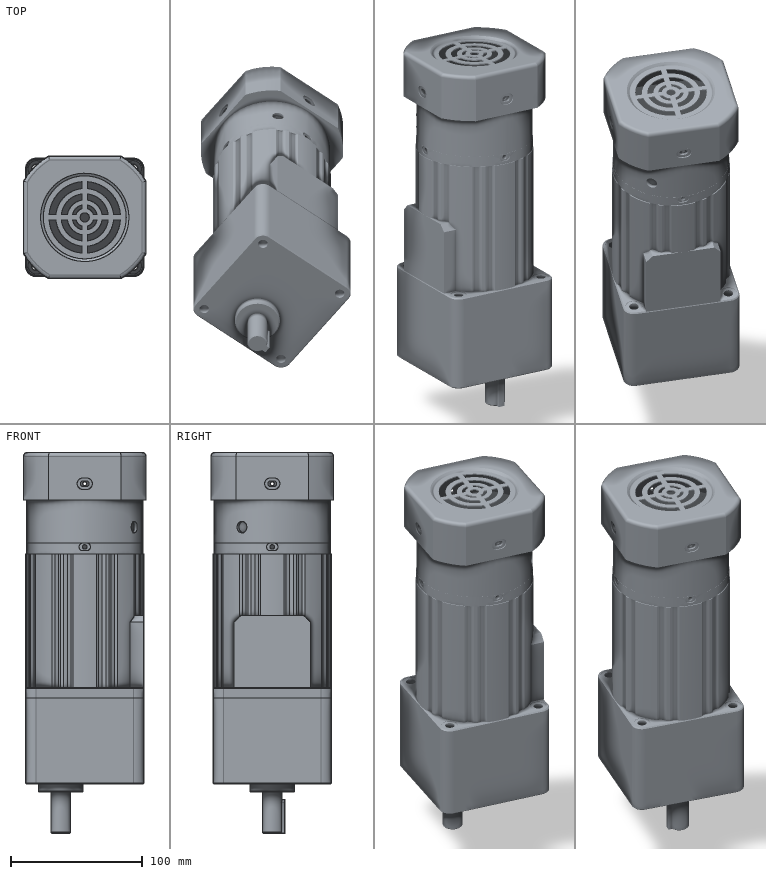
import cadquery as cq
import math

BOSS_BOTTOM = 31.2
GEARBOX_BOTTOM = 37.3
GEARBOX_TOP = 102.5
FLANGE_TOP = 110.7
STATOR_TOP = 212.0
COVER_BOTTOM = 253.0
BELL_TOP = 260.0
COVER_TOP = 289.0

FRAME_WIDTH = 90.0
FRAME_CORNER_RADIUS = 8.0
FRAME_EDGE_CHAMFER = 1.0
BOLT_OFFSET = 36.7
BOLT_RADIUS = 3.6
BOLT_SEAT_RADIUS = 6.5
BOLT_SEAT_DEPTH = 0.3

SHAFT_X = -18.2
SHAFT_RADIUS = 7.5
SHAFT_CHAMFER = 1.0
BOSS_RADIUS = 17.0
BOSS_CHAMFER = 1.0
KEY_WIDTH = 5.0
KEY_HEIGHT = 5.0
KEY_LENGTH = 25.7
KEY_OUTER_Y = 9.5

STATOR_RADIUS = FRAME_WIDTH / 2
GROOVE_DEPTH = 1.5
GROOVE_PAIRS = 8
FIRST_PAIR_ANGLE = 180 / GROOVE_PAIRS
GROOVE_OUTER_LIP = 11.0
GROOVE_FLOOR_OUTER = 8.5
GROOVE_FLOOR_INNER = 5.0
GROOVE_INNER_LIP = 1.7

PAD_WIDTH = 57.8
PAD_TOP = 165.3
PAD_CHAMFER = 5.0

BELL_RADIUS = 44.2
BAND_TOP = 220.2
BAND_STEP = 0.1
CABLE_HOLE_RADIUS = 4.3
CABLE_HOLE_DEPTH = 3.0
CABLE_HOLE_Z = 232.5
CABLE_HOLE_ANGLE = -31.5
BELL_SCREW_Z = 217.3
BELL_SCREW_SLOT = (8.7, 5.8)
BELL_SCREW_SLOT_DEPTH = 1.0
BELL_SCREW_RADIUS = 1.7
BELL_SCREW_DEPTH = 4.3

COVER_WIDTH = 93.0
COVER_CORNER_RADIUS = 54.0
COVER_TOP_FILLET = 3.0
COVER_WALL = 4.3
COVER_ROOF = 1.0
COVER_SCREW_Z = 265.3
COVER_SEAT_SLOT = (11.5, 8.7)
COVER_SEAT_DEPTH = 1.0
COVER_SCREW_SLOT = (6.6, 4.3)
COVER_SCREW_SLOT_DEPTH = 3.0
COVER_SCREW_RADIUS = 1.5

GRILLE_DISH_RADIUS = 35.5
GRILLE_RIM_RADIUS = 33.5
GRILLE_FLOOR_RADIUS = 31.5
GRILLE_DEPTH = 1.7
GRILLE_RINGS = [(7.0, 9.5), (13.3, 18.0), (22.0, 27.2)]
SPOKE_WIDTH = 4.0
HUB_HOLE_RADIUS = 3.5

SIDE_ANGLES = [0, 90, 180, 270]


def cylinder(radius, bottom, top, x=0):
    return cq.Workplane("XY", origin=(x, 0, bottom)).circle(radius).extrude(top - bottom)


def frame_block(bottom, top):
    block = cq.Workplane("XY", origin=(0, 0, bottom)).rect(FRAME_WIDTH, FRAME_WIDTH).extrude(top - bottom)
    return block.edges("|Z").fillet(FRAME_CORNER_RADIUS)


def bolt_cylinders(radius, bottom, top):
    span = 2 * BOLT_OFFSET
    layout = cq.Workplane("XY", origin=(0, 0, bottom)).rect(span, span, forConstruction=True)
    return layout.vertices().circle(radius).extrude(top - bottom)


def side_plane(angle, distance, z):
    """Plane facing outward from the motor axis at the given angle from +X."""
    turn = math.radians(angle)
    outward = (math.cos(turn), math.sin(turn), 0)
    tangent = (-math.sin(turn), math.cos(turn), 0)
    origin = (distance * outward[0], distance * outward[1], z)
    return cq.Workplane(cq.Plane(origin=origin, xDir=tangent, normal=outward))


def polar_point(radius, angle):
    turn = math.radians(angle)
    return (radius * math.cos(turn), radius * math.sin(turn))


def make_key():
    """Parallel key with its upper end rounded and its lower end flush with the shaft tip."""
    half = KEY_WIDTH / 2
    shoulder = KEY_LENGTH - half
    profile = (
        cq.Workplane("XZ", origin=(SHAFT_X, KEY_OUTER_Y, 0))
        .moveTo(-half, 0)
        .lineTo(half, 0)
        .lineTo(half, shoulder)
        .threePointArc((0, KEY_LENGTH), (-half, shoulder))
        .close()
    )
    return profile.extrude(KEY_HEIGHT)


def make_gearbox(key):
    """Gear housing with its offset boss and output shaft."""
    housing = frame_block(GEARBOX_BOTTOM, GEARBOX_TOP).faces("<Z").chamfer(FRAME_EDGE_CHAMFER)
    housing = housing.cut(bolt_cylinders(BOLT_RADIUS, GEARBOX_BOTTOM, GEARBOX_TOP))
    boss = cylinder(BOSS_RADIUS, BOSS_BOTTOM, GEARBOX_BOTTOM, SHAFT_X).faces("<Z").chamfer(BOSS_CHAMFER)
    shaft = cylinder(SHAFT_RADIUS, 0, GEARBOX_BOTTOM, SHAFT_X).faces("<Z").chamfer(SHAFT_CHAMFER)
    return housing.union(boss).union(shaft).cut(key)


def make_groove(middle_angle, side):
    """One tapered groove of a pair; side is +1 or -1 about the middle of the pair."""
    floor_radius = STATOR_RADIUS - GROOVE_DEPTH
    beyond_radius = STATOR_RADIUS + GROOVE_DEPTH
    corners = [
        (beyond_radius, GROOVE_OUTER_LIP),
        (STATOR_RADIUS, GROOVE_OUTER_LIP),
        (floor_radius, GROOVE_FLOOR_OUTER),
        (floor_radius, GROOVE_FLOOR_INNER),
        (STATOR_RADIUS, GROOVE_INNER_LIP),
        (beyond_radius, GROOVE_INNER_LIP),
    ]
    points = [polar_point(radius, middle_angle + side * offset) for radius, offset in corners]
    base = cq.Workplane("XY", origin=(0, 0, FLANGE_TOP))
    return base.polyline(points).close().extrude(STATOR_TOP - FLANGE_TOP)


def make_stator():
    stator = cylinder(STATOR_RADIUS, FLANGE_TOP, STATOR_TOP)
    for index in range(GROOVE_PAIRS):
        middle_angle = FIRST_PAIR_ANGLE + index * 360 / GROOVE_PAIRS
        for side in (-1, 1):
            stator = stator.cut(make_groove(middle_angle, side))
    return stator


def make_terminal_pad():
    """Flat-faced block from the motor axis out to the +X side of the frame, beveled at its upper sides."""
    pad = cq.Workplane("XY", origin=(0, 0, FLANGE_TOP)).rect(STATOR_RADIUS, PAD_WIDTH)
    pad = pad.extrude(PAD_TOP - FLANGE_TOP).translate((STATOR_RADIUS / 2, 0, 0))
    return pad.faces(">Z").edges("|X").chamfer(PAD_CHAMFER)


def make_bell():
    bell = cylinder(BELL_RADIUS, STATOR_TOP, BELL_TOP)
    band_radius = BELL_RADIUS + BAND_STEP
    bell = bell.union(cylinder(band_radius, STATOR_TOP, BAND_TOP))
    for angle in SIDE_ANGLES:
        mouth = side_plane(angle, band_radius, BELL_SCREW_Z)
        bell = bell.cut(mouth.slot2D(*BELL_SCREW_SLOT).extrude(-BELL_SCREW_SLOT_DEPTH))
        bell = bell.cut(mouth.circle(BELL_SCREW_RADIUS).extrude(-BELL_SCREW_DEPTH))
    cable_mouth = side_plane(CABLE_HOLE_ANGLE, BELL_RADIUS, CABLE_HOLE_Z)
    return bell.cut(cable_mouth.circle(CABLE_HOLE_RADIUS).extrude(-CABLE_HOLE_DEPTH))


def make_motor():
    """Mounting flange, finned stator, terminal pad and end bell."""
    flange = frame_block(GEARBOX_TOP, FLANGE_TOP).faces(">Z").chamfer(FRAME_EDGE_CHAMFER)
    motor = flange.union(make_stator()).union(make_terminal_pad()).union(make_bell())
    seat_floor = FLANGE_TOP - BOLT_SEAT_DEPTH
    seats = bolt_cylinders(BOLT_SEAT_RADIUS, seat_floor, FLANGE_TOP)
    seats = seats.cut(cylinder(STATOR_RADIUS, seat_floor, FLANGE_TOP))
    return motor.cut(seats).cut(bolt_cylinders(BOLT_RADIUS, GEARBOX_TOP, FLANGE_TOP))


def make_grille_recess():
    """Dished recess that holds the grille, with a sloping wall."""
    profile = (
        cq.Workplane("XZ")
        .moveTo(0, COVER_TOP)
        .lineTo(GRILLE_RIM_RADIUS, COVER_TOP)
        .lineTo(GRILLE_FLOOR_RADIUS, COVER_TOP - GRILLE_DEPTH)
        .lineTo(0, COVER_TOP - GRILLE_DEPTH)
        .close()
    )
    return profile.revolve(360, (0, 0, 0), (0, 1, 0))


def make_grille_openings():
    """Rings cut into quarters by two crossing spokes, and the hub hole."""
    bottom = COVER_TOP - GRILLE_DEPTH - COVER_ROOF
    height = COVER_TOP - bottom
    base = cq.Workplane("XY", origin=(0, 0, bottom))
    openings = cylinder(HUB_HOLE_RADIUS, bottom, COVER_TOP)
    spokes = base.rect(2 * GRILLE_RIM_RADIUS, SPOKE_WIDTH).extrude(height)
    spokes = spokes.union(base.rect(SPOKE_WIDTH, 2 * GRILLE_RIM_RADIUS).extrude(height))
    for inner_radius, outer_radius in GRILLE_RINGS:
        ring = base.circle(outer_radius).circle(inner_radius).extrude(height)
        openings = openings.union(ring.cut(spokes))
    return openings


def cover_block(inset, bottom, top):
    """Square block with rounded-off corners, set in from the outside of the cover."""
    width = COVER_WIDTH - 2 * inset
    block = cq.Workplane("XY", origin=(0, 0, bottom)).rect(width, width).extrude(top - bottom)
    return block.intersect(cylinder(COVER_CORNER_RADIUS - inset, bottom, top))


def make_cover_cavity():
    """Space above the end bell; the roof is thin and the dish of the grille hangs from it."""
    ceiling = COVER_TOP - COVER_ROOF
    dish = cylinder(GRILLE_DISH_RADIUS, ceiling - GRILLE_DEPTH, ceiling)
    return cover_block(COVER_WALL, BELL_TOP, ceiling).cut(dish)


def make_fan_cover():
    """Thin-walled square cap that fits over the end bell."""
    cover = cover_block(0, COVER_BOTTOM, COVER_TOP)
    cover = cover.faces(">Z").edges().fillet(COVER_TOP_FILLET)
    cover = cover.cut(make_cover_cavity()).cut(cylinder(BELL_RADIUS, COVER_BOTTOM, BELL_TOP))
    cover = cover.cut(make_grille_recess()).cut(make_grille_openings())
    for angle in SIDE_ANGLES:
        mouth = side_plane(angle, COVER_WIDTH / 2, COVER_SCREW_Z)
        cover = cover.cut(mouth.slot2D(*COVER_SEAT_SLOT).extrude(-COVER_SEAT_DEPTH))
        cover = cover.cut(mouth.slot2D(*COVER_SCREW_SLOT).extrude(-COVER_SCREW_SLOT_DEPTH))
        cover = cover.cut(mouth.circle(COVER_SCREW_RADIUS).extrude(-COVER_WALL))
    return cover


key = make_key()
gearbox = make_gearbox(key)
motor = make_motor()
fan_cover = make_fan_cover()

result = cq.Compound.makeCompound([gearbox.val(), key.val(), motor.val(), fan_cover.val()])